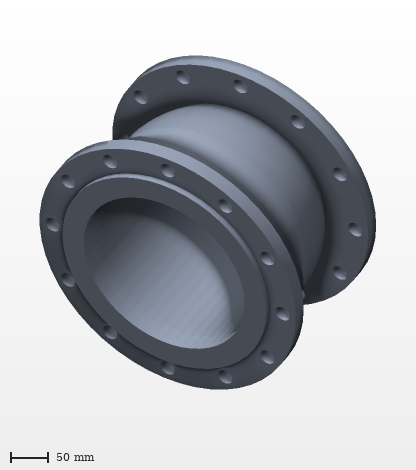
import cadquery as cq

length = 230.0
flange_diameter = 390.0
flange_thickness = 21.0
face_diameter = 310.0
face_height = 9.0
bore_diameter = 245.0
bulge_diameter = 307.0
bulge_end_diameter = 263.5
bolt_circle_diameter = 350.2
bolt_hole_diameter = 22.0
bolt_count = 12

half_length = length / 2
flange_outer_y = half_length - face_height
flange_inner_y = flange_outer_y - flange_thickness

bulge_radius = bulge_diameter / 2
bulge_end_radius = bulge_end_diameter / 2
bulge_drop = bulge_radius - bulge_end_radius
bulge_arc_radius = (flange_inner_y**2 + bulge_drop**2) / (2 * bulge_drop)


def make_body():
    """Revolve the flanges, raised faces, bulge and straight bore about Y."""
    bore_radius = bore_diameter / 2
    flange_radius = flange_diameter / 2
    face_radius = face_diameter / 2
    profile = (
        cq.Workplane("XY")
        .moveTo(bore_radius, -half_length)
        .lineTo(face_radius, -half_length)
        .lineTo(face_radius, -flange_outer_y)
        .lineTo(flange_radius, -flange_outer_y)
        .lineTo(flange_radius, -flange_inner_y)
        .lineTo(bulge_end_radius, -flange_inner_y)
        .radiusArc((bulge_radius, 0), -bulge_arc_radius)
        .radiusArc((bulge_end_radius, flange_inner_y), -bulge_arc_radius)
        .lineTo(flange_radius, flange_inner_y)
        .lineTo(flange_radius, flange_outer_y)
        .lineTo(face_radius, flange_outer_y)
        .lineTo(face_radius, half_length)
        .lineTo(bore_radius, half_length)
        .close()
    )
    return profile.revolve(360, (0, 0, 0), (0, 1, 0))


def make_bolt_holes():
    """Pins through both flanges, clear of the bulge between them."""
    return (
        cq.Workplane("XZ")
        .polarArray(bolt_circle_diameter / 2, 0, 360, bolt_count)
        .circle(bolt_hole_diameter / 2)
        .extrude(half_length, both=True)
    )


result = make_body().cut(make_bolt_holes())